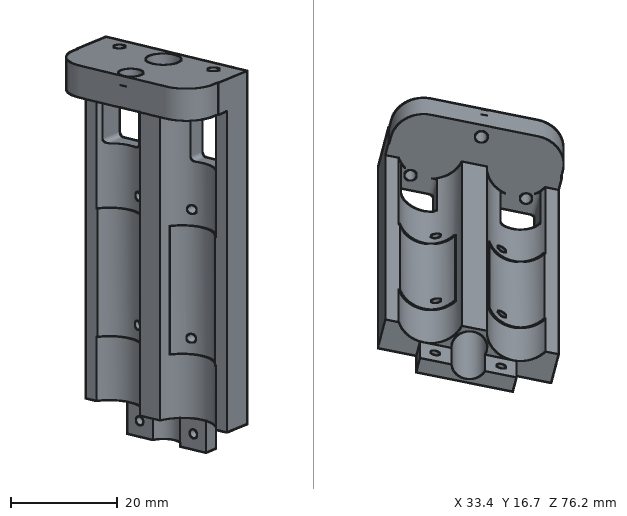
import cadquery as cq

length = 76.2
width = 33.4
plate_depth = 16.7
module = length / 12

plate_bottom = length - module
plate_corner_radius = 6.25
plate_step_depth = 8.9
plate_step = 0.15
body_bottom = module
rail_depth = module
ridge_depth = 8.2
tail_width = 18.6
tail_depth = module / 2

channel_x = 8.6
channel_depth = 1.5 * module
channel_radius = module
middle_radius = 6.2
middle_bottom = 3 * module
middle_top = 7 * module

window_x = 9.75
window_width = 7.3
window_bottom = 9 * module
window_corner_radius = 0.9

bore_diameter = 6.7
bore_depth = 4.1
plate_hole_diameter = 2.3
plate_hole_x = 11.1
plate_hole_depth = module / 2
screw_diameter = 2.45
screw_head_diameter = 4.7
screw_head_height = 2.0
screw_depth = 14.2
wall_hole_diameter = 1.75
wall_hole_x = module
wall_hole_heights = [0.5 * module, 3.5 * module, 7.5 * module]


def block(block_width, depth, bottom, top):
    """Box centred on x = 0 with its back on y = 0."""
    box = cq.Workplane("XY").box(block_width, depth, top - bottom, centered=(True, False, False))
    return box.translate((0, -depth, bottom))


def upright_cylinder(x, depth, diameter, bottom, top):
    """Cylinder along Z whose axis lies the given depth in front of the back face."""
    base = cq.Workplane("XY", origin=(x, -depth, bottom))
    return base.circle(diameter / 2).extrude(top - bottom)


def channel(x, radius, bottom, top):
    return upright_cylinder(x, channel_depth, 2 * radius, bottom, top)


def make_body():
    """Backbone with a central ridge left standing between the two channels."""
    rails = block(width, rail_depth, body_bottom, plate_bottom)
    ridge = block(2 * channel_x, ridge_depth, body_bottom, plate_bottom)
    for x in (-channel_x, channel_x):
        ridge = ridge.cut(channel(x, channel_radius, body_bottom, plate_bottom))
        rails = rails.cut(channel(x, channel_radius, body_bottom, middle_bottom))
        rails = rails.cut(channel(x, middle_radius, middle_bottom, middle_top))
        rails = rails.cut(channel(x, channel_radius, middle_top, plate_bottom))
    return rails.union(ridge)


def make_plate():
    """Full-width rear portion joined to a slightly narrower front with rounded corners."""
    rear = block(width, plate_step_depth, plate_bottom, length)
    front = block(width - 2 * plate_step, plate_depth, plate_bottom, length)
    return rear.union(front.edges("|Z and <Y").fillet(plate_corner_radius))


def make_window(x):
    window = block(window_width, ridge_depth, window_bottom, plate_bottom)
    return window.edges("|Y").fillet(window_corner_radius).translate((x, 0, 0))


def make_wall_hole(x, z):
    plane = cq.Workplane("XZ", origin=(x, 0, z))
    return plane.circle(wall_hole_diameter / 2).extrude(ridge_depth)


tail = block(tail_width, tail_depth, 0, body_bottom)
result = make_body().union(make_plate()).union(tail)

result = result.cut(upright_cylinder(0, bore_depth, bore_diameter, 0, length))

result = result.cut(upright_cylinder(0, screw_depth, screw_diameter, plate_bottom, length))
head_seat = length - screw_head_height
result = result.cut(upright_cylinder(0, screw_depth, screw_head_diameter, head_seat, length))

for side in (-1, 1):
    result = result.cut(make_window(side * window_x))
    result = result.cut(
        upright_cylinder(side * plate_hole_x, plate_hole_depth, plate_hole_diameter, plate_bottom, length)
    )
    for height in wall_hole_heights:
        result = result.cut(make_wall_hole(side * wall_hole_x, height))